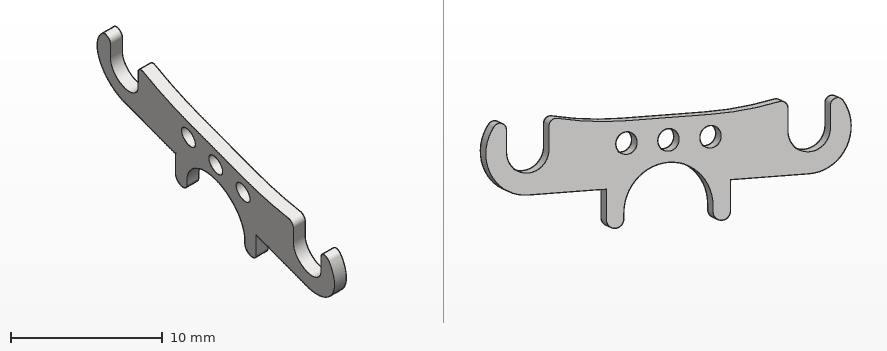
import cadquery as cq
import math

length = 26.0
thickness = 1.0

hook_radius = 3.0
slot_radius = 1.5
corner_radius = 0.5
hook_x = length / 2 - hook_radius
slot_outer_x = hook_x + slot_radius
slot_inner_x = hook_x - slot_radius

top_z = 1.5
flat_half_length = 3.0
rise_radius = 23.92

leg_outer_x = 4.42
arch_radius = 3.17
arch_top_z = -1.5
leg_bottom_z = -5.67
leg_end_radius = (leg_outer_x - arch_radius) / 2
leg_end_z = leg_bottom_z + leg_end_radius
arch_z = arch_top_z - arch_radius

hole_diameter = 1.5
hole_pitch = 3.0
hole_count = 3


def rise_z(x):
    """Height of the concave top arc at a distance x from the middle."""
    run = x - flat_half_length
    return top_z + rise_radius - math.sqrt(rise_radius**2 - run**2)


def horn_corner():
    """Centre of the horn rounding and its touching point on the concave arc."""
    center_x = slot_inner_x - corner_radius
    run = center_x - flat_half_length
    arc_center_z = top_z + rise_radius
    center_distance = rise_radius + corner_radius
    center_z = arc_center_z - math.sqrt(center_distance**2 - run**2)
    ratio = rise_radius / center_distance
    touch_x = flat_half_length + run * ratio
    touch_z = arc_center_z + (center_z - arc_center_z) * ratio
    return (center_x, center_z), (touch_x, touch_z)


def hook_tip():
    """Centre of the tip rounding and its touching point on the hook's outer arc."""
    center_x = slot_outer_x + corner_radius
    center_distance = hook_radius - corner_radius
    center_z = math.sqrt(center_distance**2 - (center_x - hook_x) ** 2)
    ratio = hook_radius / center_distance
    touch = (hook_x + (center_x - hook_x) * ratio, center_z * ratio)
    return (center_x, center_z), touch


def on_circle(center, radius, degrees):
    angle = math.radians(degrees)
    return (center[0] + radius * math.cos(angle), center[1] + radius * math.sin(angle))


def half_plate():
    """The +X half, with the outline closed along X = 0."""
    horn_center, horn_touch = horn_corner()
    tip_center, tip_touch = hook_tip()
    rise_mid_x = (flat_half_length + horn_touch[0]) / 2
    leg_mid_x = (leg_outer_x + arch_radius) / 2
    return (
        cq.Workplane("XZ")
        .moveTo(0, top_z)
        .lineTo(flat_half_length, top_z)
        .threePointArc((rise_mid_x, rise_z(rise_mid_x)), horn_touch)
        .threePointArc(on_circle(horn_center, corner_radius, 45), (slot_inner_x, horn_center[1]))
        .lineTo(slot_inner_x, 0)
        .threePointArc((hook_x, -slot_radius), (slot_outer_x, 0))
        .lineTo(slot_outer_x, tip_center[1])
        .threePointArc(on_circle(tip_center, corner_radius, 90), tip_touch)
        .threePointArc((hook_x + hook_radius, 0), (hook_x, -hook_radius))
        .lineTo(leg_outer_x, -hook_radius)
        .lineTo(leg_outer_x, leg_end_z)
        .threePointArc((leg_mid_x, leg_bottom_z), (arch_radius, leg_end_z))
        .lineTo(arch_radius, arch_z)
        .threePointArc(on_circle((0, arch_z), arch_radius, 45), (0, arch_top_z))
        .close()
        .extrude(thickness / 2, both=True)
    )


def hole_row():
    return (
        cq.Workplane("XZ")
        .rarray(hole_pitch, 0.25, hole_count, 1)
        .circle(hole_diameter / 2)
        .extrude(thickness, both=True)
    )


half = half_plate()
result = half.union(half.mirror("YZ")).clean().cut(hole_row())